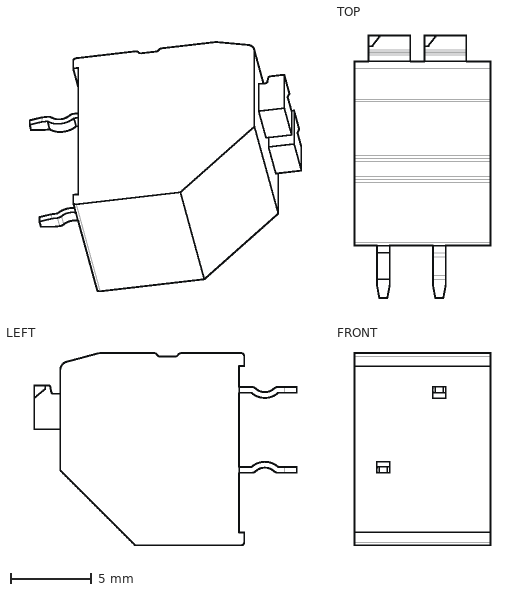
import cadquery as cq
import math


width = 8.5
height = 12.0
depth = 11.5
rim_depth = 0.33
rim_height = 0.82
rim_radius = 0.2
underside_chamfer = 4.69
slope_start = 9.07
slope_angle = 15.0
slope_radius = 0.57

groove_front = 3.95
groove_back = 5.63
groove_wall = 0.36
groove_depth = 0.21

pole_pitch = 3.5

first_lever_x = -2.07
lever_width = 2.6
lever_back = 13.12
lever_bottom = 7.23
lever_top = 9.99
lever_step_z = 9.46
lever_step_y = 12.07
lever_step_lean = 0.1
lever_step_radius = 0.13
corner_cut_length = 0.69
corner_cut_back_width = 0.75
corner_cut_front_width = 0.21
corner_cut_back_drop = 0.8
corner_cut_front_drop = 0.23
corner_cut_undercut = 0.62

first_pin_x = -2.45
first_pin_z = 4.7
pin_row_spacing = 5.0
pin_width = 0.8
pin_thickness = 0.38
pin_tip_width = 0.51
pin_tip_y = -3.28
pin_taper_start = -2.5
bend_y = -1.28
bend_half_length = 0.84
bend_rise = 0.33


def make_housing():
    back_top = height - (depth - slope_start) * math.tan(math.radians(slope_angle))
    outline = [
        (0, 0),
        (depth - underside_chamfer, 0),
        (depth, underside_chamfer),
        (depth, back_top),
        (slope_start, height),
        (0, height),
        (0, height - rim_height),
        (rim_depth, height - rim_height),
        (rim_depth, rim_height),
        (0, rim_height),
    ]
    block = cq.Workplane("YZ").polyline(outline).close().extrude(width / 2, both=True)
    block = block.edges(cq.selectors.NearestToPointSelector((0, depth, back_top))).fillet(slope_radius)
    block = block.edges(cq.selectors.NearestToPointSelector((0, slope_start, height))).fillet(slope_radius)
    for z in (0, height):
        block = block.edges(cq.selectors.NearestToPointSelector((0, 0, z))).fillet(rim_radius)
    return block


def make_groove():
    radius = (groove_wall**2 + groove_depth**2) / (4 * groove_depth)
    floor_z = height - groove_depth
    middle_z = height - groove_depth / 2
    return (
        cq.Workplane("YZ")
        .moveTo(groove_front, height)
        .radiusArc((groove_front + groove_wall / 2, middle_z), radius)
        .radiusArc((groove_front + groove_wall, floor_z), -radius)
        .lineTo(groove_back - groove_wall, floor_z)
        .radiusArc((groove_back - groove_wall / 2, middle_z), -radius)
        .radiusArc((groove_back, height), radius)
        .close()
        .extrude(width / 2, both=True)
    )


def make_lever(x):
    step_top_y = lever_step_y + lever_step_lean / 2
    step_foot_y = lever_step_y - lever_step_lean / 2
    outline = [
        (depth, lever_bottom),
        (lever_back, lever_bottom),
        (lever_back, lever_top),
        (step_top_y, lever_top),
        (step_foot_y, lever_step_z),
        (depth, lever_step_z),
    ]
    lever = cq.Workplane("YZ").polyline(outline).close().extrude(lever_width / 2, both=True)
    for y, z in ((step_top_y, lever_top), (step_foot_y, lever_step_z)):
        lever = lever.edges(cq.selectors.NearestToPointSelector((0, y, z))).fillet(lever_step_radius)
    return lever.cut(make_corner_cut()).translate((x, 0, 0))


def make_corner_cut():
    side_x = -lever_width / 2
    cut_front = lever_back - corner_cut_length

    def plan(undercut):
        return [
            (side_x, cut_front),
            (side_x + corner_cut_front_width + undercut, cut_front),
            (side_x + corner_cut_back_width + undercut, lever_back),
            (side_x, lever_back),
        ]

    side = [
        (cut_front, lever_top),
        (cut_front, lever_top - corner_cut_front_drop),
        (lever_back, lever_top - corner_cut_back_drop),
        (lever_back, lever_top),
    ]
    walls = (
        cq.Workplane("XY", origin=(0, 0, lever_top))
        .polyline(plan(0))
        .close()
        .workplane(offset=-corner_cut_back_drop)
        .polyline(plan(corner_cut_undercut))
        .close()
        .loft(ruled=True)
    )
    wedge = cq.Workplane("YZ").polyline(side).close().extrude(lever_width / 2, both=True)
    return walls.intersect(wedge)


def make_pin(x, z, bend_up):
    outer_radius = (bend_half_length**2 + bend_rise**2) / (2 * bend_rise)
    inner_radius = outer_radius - pin_thickness
    outer_z = pin_thickness / 2
    arc_center_z = outer_z + bend_rise - outer_radius
    blend_y = bend_half_length * inner_radius / outer_radius
    blend_z = arc_center_z + (outer_z - arc_center_z) * inner_radius / outer_radius
    near_y = bend_y + bend_half_length
    far_y = bend_y - bend_half_length

    strip = (
        cq.Workplane("YZ")
        .moveTo(rim_depth, outer_z)
        .lineTo(near_y, outer_z)
        .threePointArc((bend_y, outer_z + bend_rise), (far_y, outer_z))
        .lineTo(pin_tip_y, outer_z)
        .lineTo(pin_tip_y, -outer_z)
        .lineTo(far_y, -outer_z)
        .radiusArc((bend_y - blend_y, blend_z), -pin_thickness)
        .threePointArc((bend_y, arc_center_z + inner_radius), (bend_y + blend_y, blend_z))
        .radiusArc((near_y, -outer_z), -pin_thickness)
        .lineTo(rim_depth, -outer_z)
        .close()
        .extrude(pin_width / 2, both=True)
    )
    plan = [
        (-pin_width / 2, rim_depth),
        (-pin_width / 2, pin_taper_start),
        (-pin_tip_width / 2, pin_tip_y),
        (pin_tip_width / 2, pin_tip_y),
        (pin_width / 2, pin_taper_start),
        (pin_width / 2, rim_depth),
    ]
    tapered = cq.Workplane("XY").polyline(plan).close().extrude(height / 2, both=True)
    pin = strip.intersect(tapered)
    if not bend_up:
        pin = pin.mirror("XY")
    return pin.translate((x, 0, z))


result = make_housing().cut(make_groove())
for pole in range(2):
    result = result.union(make_lever(first_lever_x + pole * pole_pitch))

result = result.union(make_pin(first_pin_x, first_pin_z, bend_up=True))
result = result.union(make_pin(first_pin_x + pole_pitch, first_pin_z + pin_row_spacing, bend_up=False))